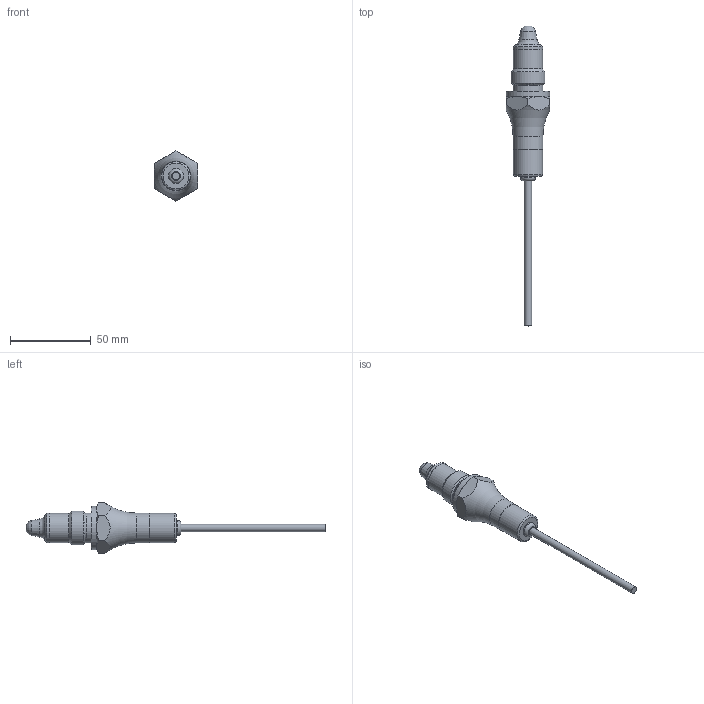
import cadquery as cq
import math


hex_across_flats = 27.0
hex_corner_radius = hex_across_flats / math.sqrt(3)
flange_radius = 26.9 / 2
flange_end = -3.35
hex_crown_angle = math.radians(30)
hex_crown_start = flange_end - (hex_corner_radius - flange_radius) * math.tan(hex_crown_angle)
hex_crown_end = -8.5

handle_radius = 18.4 / 2
handle_flare_end = -28.0
handle_end = -35.9
flare_run = hex_crown_end - handle_flare_end
flare_rise = hex_corner_radius - handle_radius
flare_arc_radius = (flare_run**2 + flare_rise**2) / (2 * flare_rise)

sleeve_radius = 18.0 / 2
sleeve_end = -52.85
sleeve_edge_fillet = 1.0
grommet_radius = 9.3 / 2
grommet_length = 2.8
grommet_fillet = 2.0
grommet_face_radius = grommet_radius - grommet_fillet
cable_radius = 4.53 / 2

neck_radius = 18.4 / 2
neck_end = 3.2
relief_radius = 18.0 / 2
collar_radius = 20.95 / 2
collar_start = 4.0
collar_front_chamfer = 1.7
collar_rear_chamfer = 0.9
collar_length = 9.8
barrel_radius = 18.0 / 2
barrel_end = 25.8

cap_rim_radius = 18.5 / 2
cap_rim_end = 27.4
cap_cone_end = 28.9
cap_cone_radius = 15.3 / 2
spout_root = 31.9
spout_root_radius = 11.2 / 2
spout_shoulder = 36.9
spout_shoulder_radius = 9.3 / 2
spout_tip_radius = 3.6 / 2
spout_tip_arc_radius = 4.3
spout_root_arc_radius = 4.0
spout_tip = 40.4

overall_length = 185.96
cable_end = spout_tip - overall_length


def arc_midpoint(start, end, radius):
    """Midpoint of the minor arc from start to end that bulges to the left of travel."""
    run = end[0] - start[0]
    rise = end[1] - start[1]
    chord = math.hypot(run, rise)
    bulge = radius - math.sqrt(radius**2 - (chord / 2) ** 2)
    return (
        (start[0] + end[0]) / 2 - bulge * rise / chord,
        (start[1] + end[1]) / 2 + bulge * run / chord,
    )


def spout_profile(profile):
    """Rounded tip, tapered nozzle, hollow root and cap cone, from the tip backwards."""
    shoulder = (spout_shoulder_radius, spout_shoulder)
    tip = (spout_tip_radius, spout_tip)
    root = (spout_root_radius, spout_root)
    cone = (cap_cone_radius, cap_cone_end)
    return (
        profile.lineTo(*tip)
        .threePointArc(arc_midpoint(tip, shoulder, spout_tip_arc_radius), shoulder)
        .lineTo(*root)
        .threePointArc(arc_midpoint(cone, root, spout_root_arc_radius), cone)
        .lineTo(cap_rim_radius, cap_rim_end)
        .lineTo(cap_rim_radius, barrel_end)
    )


def collar_profile(profile):
    """Barrel, chamfered collar, relief groove and neck, ending at the flange's seating face."""
    collar_end = collar_start + collar_length
    return (
        profile.lineTo(barrel_radius, barrel_end)
        .lineTo(barrel_radius, collar_end)
        .lineTo(collar_radius, collar_end - collar_front_chamfer)
        .lineTo(collar_radius, collar_start + collar_rear_chamfer)
        .lineTo(collar_radius - collar_rear_chamfer, collar_start)
        .lineTo(relief_radius, collar_start)
        .lineTo(relief_radius, neck_end)
        .lineTo(neck_radius, neck_end)
        .lineTo(neck_radius, 0)
    )


def handle_profile(profile):
    """Flange, hexagon crown and the flare that runs tangent into the handle."""
    crown = (hex_corner_radius, hex_crown_end)
    flare = (handle_radius, handle_flare_end)
    return (
        profile.lineTo(flange_radius, 0)
        .lineTo(flange_radius, flange_end)
        .lineTo(hex_corner_radius, hex_crown_start)
        .lineTo(*crown)
        .threePointArc(arc_midpoint(flare, crown, flare_arc_radius), flare)
        .lineTo(handle_radius, handle_end)
    )


def cable_profile(profile):
    """Rear sleeve with a rounded edge, domed grommet and cable."""
    grommet_end = sleeve_end - grommet_length
    return (
        profile.lineTo(sleeve_radius, handle_end)
        .lineTo(sleeve_radius, sleeve_end + sleeve_edge_fillet)
        .radiusArc((sleeve_radius - sleeve_edge_fillet, sleeve_end), sleeve_edge_fillet)
        .lineTo(grommet_radius, sleeve_end)
        .lineTo(grommet_radius, grommet_end + grommet_fillet)
        .radiusArc((grommet_face_radius, grommet_end), grommet_fillet)
        .lineTo(cable_radius, grommet_end)
        .lineTo(cable_radius, cable_end)
        .lineTo(0, cable_end)
    )


def turned_body():
    profile = cq.Workplane("XY").moveTo(0, spout_tip)
    for section in (spout_profile, collar_profile, handle_profile, cable_profile):
        profile = section(profile)
    return profile.close().revolve(360, (0, 0, 0), (0, 1, 0))


def hexagon_envelope():
    """Full-length hexagonal bar along Y, corners on +Z and -Z and flats on +X and -X."""
    return (
        cq.Workplane("XZ", origin=(0, spout_tip, 0))
        .transformed(rotate=(0, 0, 90))
        .polygon(6, 2 * hex_corner_radius)
        .extrude(overall_length)
    )


result = turned_body().intersect(hexagon_envelope())